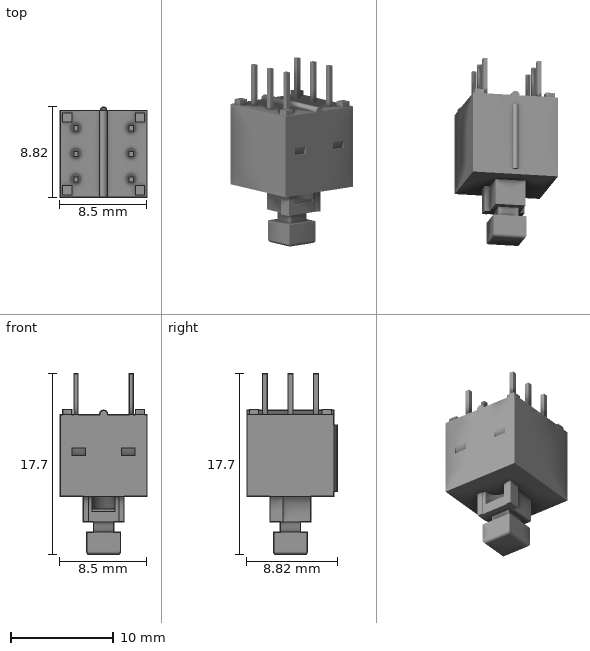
import cadquery as cq

HOUSING_SIDE = 8.5
BASE_HEIGHT = 4.0
COVER_HEIGHT = 4.0
HOUSING_TOP = BASE_HEIGHT + COVER_HEIGHT
FRONT_Y = -HOUSING_SIDE / 2
BACK_Y = HOUSING_SIDE / 2

TONGUE_STEM_WIDTH = 3.5
TONGUE_HEAD_WIDTH = 6.15
TONGUE_HEAD_HEIGHT = 1.0
TONGUE_TOP_GAP = 1.0
TONGUE_TOP = HOUSING_TOP - TONGUE_TOP_GAP
TONGUE_HEAD_BOTTOM = TONGUE_TOP - TONGUE_HEAD_HEIGHT
TONGUE_THICKNESS = 0.5

NOTCH_WIDTH = (TONGUE_HEAD_WIDTH - TONGUE_STEM_WIDTH) / 2
NOTCH_HEIGHT = 0.75
NOTCH_DEPTH = 0.3

TOP_RIB_RADIUS = 0.4
BACK_RIB_RADIUS = 0.3
RIB_FLANK_HEIGHT = 0.025
BACK_RIB_BOTTOM = 0.5
BACK_RIB_TOP = TONGUE_TOP

PAD_SIDE = 0.9
PAD_HEIGHT = 0.5
PAD_EDGE_GAP = 0.25
PAD_SPACING = HOUSING_SIDE - 2 * PAD_EDGE_GAP - PAD_SIDE

PIN_X_SIZE = 0.4
PIN_Y_SIZE = 0.5
PIN_LENGTH = 4.0
PIN_ROW_SPACING = 5.4
PIN_PITCH = 2.5
PINS_PER_ROW = 3

COLLAR_SIDE = 4.0
COLLAR_HEIGHT = 2.5
COLLAR_CORE_WIDTH = 3.0
COLLAR_CORE_SETBACK = 0.1
CHEEK_WIDTH = (COLLAR_SIDE - COLLAR_CORE_WIDTH) / 2
CHEEK_DEPTH = 1.25

WINDOW_WIDTH = 2.25
WINDOW_HEIGHT = 1.5
WINDOW_DEPTH = 0.25
BORE_HEIGHT = 1.25

NECK_SIDE = 2.0
NECK_HEIGHT = 1.0
CAP_SIDE = 3.3
CAP_HEIGHT = 2.2
CAP_EDGE_RADIUS = 0.3


def block(x_size, y_size, bottom, height, x=0, y=0):
    """Box centred on (x, y) that rises from the given bottom height."""
    return (
        cq.Workplane("XY", origin=(x, y, bottom))
        .box(x_size, y_size, height, centered=(True, True, False))
    )


def make_tongue():
    center_y = FRONT_Y + TONGUE_THICKNESS / 2
    stem = block(TONGUE_STEM_WIDTH, TONGUE_THICKNESS, BASE_HEIGHT, TONGUE_TOP - BASE_HEIGHT, y=center_y)
    head = block(TONGUE_HEAD_WIDTH, TONGUE_THICKNESS, TONGUE_HEAD_BOTTOM, TONGUE_HEAD_HEIGHT, y=center_y)
    return stem.union(head)


def make_notch(side):
    """Wedge open to the front, deepest at the base; side is -1 or 1."""
    center_x = side * (TONGUE_STEM_WIDTH + NOTCH_WIDTH) / 2
    return (
        cq.Workplane("YZ", origin=(center_x, 0, 0))
        .moveTo(FRONT_Y, BASE_HEIGHT)
        .lineTo(FRONT_Y + NOTCH_DEPTH, BASE_HEIGHT)
        .lineTo(FRONT_Y, BASE_HEIGHT + NOTCH_HEIGHT)
        .close()
        .extrude(NOTCH_WIDTH / 2, both=True)
    )


def make_rib(base_plane, radius, length):
    """Rib whose profile stands on the local X axis of the given plane."""
    return (
        base_plane
        .moveTo(-radius, 0)
        .lineTo(-radius, RIB_FLANK_HEIGHT)
        .threePointArc((0, RIB_FLANK_HEIGHT + radius), (radius, RIB_FLANK_HEIGHT))
        .lineTo(radius, 0)
        .close()
        .extrude(length)
    )


def make_top_rib():
    base_plane = cq.Workplane("XZ", origin=(0, BACK_Y, HOUSING_TOP))
    return make_rib(base_plane, TOP_RIB_RADIUS, HOUSING_SIDE)


def make_housing():
    tongue = make_tongue()
    base = block(HOUSING_SIDE, HOUSING_SIDE, 0, BASE_HEIGHT).union(tongue)
    cover = block(HOUSING_SIDE, HOUSING_SIDE, BASE_HEIGHT, COVER_HEIGHT).cut(tongue)
    for side in (-1, 1):
        cover = cover.cut(make_notch(side))
    cover = cover.union(make_top_rib())
    return base.union(cover, clean=False)


def make_back_rib():
    base_plane = cq.Workplane("XY", origin=(0, BACK_Y, BACK_RIB_BOTTOM))
    return make_rib(base_plane, BACK_RIB_RADIUS, BACK_RIB_TOP - BACK_RIB_BOTTOM)


def make_pads():
    return (
        cq.Workplane("XY", origin=(0, 0, HOUSING_TOP))
        .rarray(PAD_SPACING, PAD_SPACING, 2, 2)
        .rect(PAD_SIDE, PAD_SIDE)
        .extrude(PAD_HEIGHT)
    )


def make_pins():
    return (
        cq.Workplane("XY", origin=(0, 0, HOUSING_TOP))
        .rarray(PIN_ROW_SPACING, PIN_PITCH, 2, PINS_PER_ROW)
        .rect(PIN_X_SIZE, PIN_Y_SIZE)
        .extrude(PIN_LENGTH)
    )


def make_collar():
    cheek_front_y = -COLLAR_SIDE / 2
    core_front_y = cheek_front_y + COLLAR_CORE_SETBACK
    core_depth = COLLAR_SIDE - COLLAR_CORE_SETBACK
    collar = block(
        COLLAR_CORE_WIDTH, core_depth, -COLLAR_HEIGHT, COLLAR_HEIGHT,
        y=core_front_y + core_depth / 2,
    )
    for side in (-1, 1):
        cheek = block(
            CHEEK_WIDTH, CHEEK_DEPTH, -COLLAR_HEIGHT, COLLAR_HEIGHT,
            x=side * (COLLAR_CORE_WIDTH + CHEEK_WIDTH) / 2,
            y=cheek_front_y + CHEEK_DEPTH / 2,
        )
        collar = collar.union(cheek)
    window = block(
        WINDOW_WIDTH, WINDOW_DEPTH, -WINDOW_HEIGHT, WINDOW_HEIGHT,
        y=core_front_y + WINDOW_DEPTH / 2,
    )
    bore = (
        cq.Workplane("XY", origin=(0, core_front_y + WINDOW_DEPTH, -BORE_HEIGHT))
        .circle(WINDOW_WIDTH / 2)
        .extrude(BORE_HEIGHT)
    )
    return collar.cut(window).cut(bore)


def make_button():
    cap_top = -COLLAR_HEIGHT - NECK_HEIGHT
    neck = block(NECK_SIDE, NECK_SIDE, cap_top, NECK_HEIGHT)
    cap = block(CAP_SIDE, CAP_SIDE, cap_top - CAP_HEIGHT, CAP_HEIGHT)
    cap = cap.faces("<Z").edges().fillet(CAP_EDGE_RADIUS)
    return neck.union(cap)


result = make_housing()
for feature in (
    make_back_rib(),
    make_pads(),
    make_pins(),
    make_collar(),
    make_button(),
):
    result = result.union(feature, clean=False)